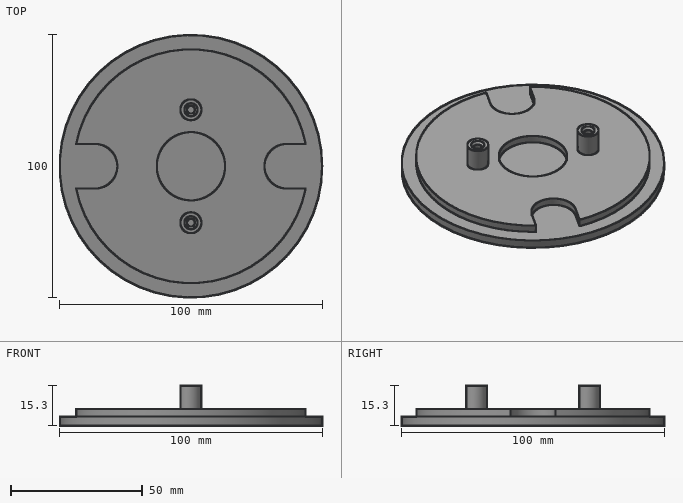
import cadquery as cq

flange_diameter = 100.0
flange_thickness = 3.5

disc_diameter = 89.0
disc_thickness = 3.0
recess_diameter = 26.0

notch_width = 17.0
notch_inner_x = 28.0

total_height = 15.3
post_diameter = 8.0
post_spacing = 43.0

hole_diameter = 3.0
countersink_diameter = 5.0
countersink_depth = 1.0

disc_top = flange_thickness + disc_thickness
post_height = total_height - disc_top
hole_depth = post_height


def make_flange():
    return cq.Workplane("XY").circle(flange_diameter / 2).extrude(flange_thickness)


def make_notch(side):
    """Notch cutter opening outwards; side is -1 for -X and +1 for +X."""
    notch_radius = notch_width / 2
    arc_center_x = notch_inner_x + notch_radius
    outer_x = flange_diameter / 2
    return (
        cq.Workplane("XY", origin=(0, 0, flange_thickness))
        .moveTo(side * outer_x, notch_radius)
        .lineTo(side * arc_center_x, notch_radius)
        .threePointArc((side * notch_inner_x, 0), (side * arc_center_x, -notch_radius))
        .lineTo(side * outer_x, -notch_radius)
        .close()
        .extrude(disc_thickness)
    )


def make_disc():
    disc = (
        cq.Workplane("XY", origin=(0, 0, flange_thickness))
        .circle(disc_diameter / 2)
        .circle(recess_diameter / 2)
        .extrude(disc_thickness)
    )
    for side in (-1, 1):
        disc = disc.cut(make_notch(side))
    return disc


def make_post(y):
    """Post with its countersunk hole, revolved about its own axis."""
    post_radius = post_diameter / 2
    hole_radius = hole_diameter / 2
    countersink_radius = countersink_diameter / 2
    post = cq.Workplane("XY").circle(post_radius).extrude(post_height)
    hole = (
        cq.Workplane("XZ")
        .moveTo(0, post_height)
        .lineTo(countersink_radius, post_height)
        .lineTo(hole_radius, post_height - countersink_depth)
        .lineTo(hole_radius, post_height - hole_depth)
        .lineTo(0, post_height - hole_depth)
        .close()
        .revolve(360, (0, 0, 0), (0, 1, 0))
    )
    return post.cut(hole).translate((0, y, disc_top))


result = make_flange().union(make_disc())
for post_y in (-post_spacing / 2, post_spacing / 2):
    result = result.union(make_post(post_y))